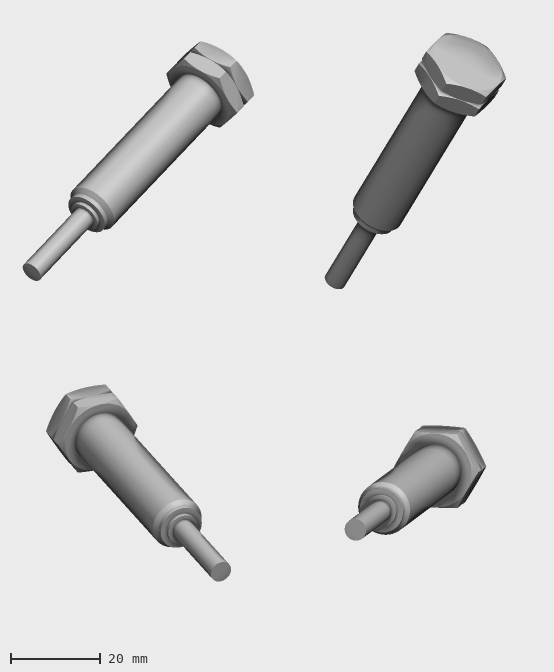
import cadquery as cq
import math

total_length = 72.0

nut_count = 2
nut_across_flats = 17.0
nut_stack_length = 8.0
nut_thickness = nut_stack_length / nut_count
nut_face_diameter = 16.85
nut_chamfer_angle = 30.0

barrel_diameter = 12.0
cap_diameter = 10.1
collar_diameter = 7.2
cable_diameter = 5.0
shoulder_length = 1.1
cap_length = 1.1
collar_length = 0.9
cable_length = 20.0

back_y = total_length / 2
cable_end_y = -total_length / 2
collar_front_y = cable_end_y + cable_length
cap_front_y = collar_front_y + collar_length
shoulder_front_y = cap_front_y + cap_length
barrel_front_y = shoulder_front_y + shoulder_length


def revolve_about_y(profile_points):
    """Revolve a closed (radius, y) profile around the Y axis."""
    profile = cq.Workplane("XY").polyline(profile_points).close()
    return profile.revolve(360, (0, 0, 0), (0, 1, 0))


def make_sensor():
    """Stepped round sensor with its cable, in one solid."""
    barrel_radius = barrel_diameter / 2
    cap_radius = cap_diameter / 2
    collar_radius = collar_diameter / 2
    cable_radius = cable_diameter / 2
    return revolve_about_y([
        (0, back_y),
        (barrel_radius, back_y),
        (barrel_radius, barrel_front_y),
        (cap_radius, shoulder_front_y),
        (cap_radius, cap_front_y),
        (collar_radius, cap_front_y),
        (collar_radius, collar_front_y),
        (cable_radius, collar_front_y),
        (cable_radius, cable_end_y),
        (0, cable_end_y),
    ])


def make_nut(nut_back_y):
    """Hexagonal nut with corners chamfered on both faces and a bore for the barrel."""
    corner_diameter = nut_across_flats / math.cos(math.radians(30))
    corner_radius = corner_diameter / 2
    face_radius = nut_face_diameter / 2
    chamfer_depth = (corner_radius - face_radius) * math.tan(math.radians(nut_chamfer_angle))
    nut_front_y = nut_back_y - nut_thickness

    hexagon = (
        cq.Workplane("XZ", origin=(0, nut_back_y, 0))
        .polygon(6, corner_diameter)
        .circle(barrel_diameter / 2)
        .extrude(nut_thickness)
    )
    chamfer_envelope = revolve_about_y([
        (0, nut_back_y),
        (face_radius, nut_back_y),
        (corner_radius, nut_back_y - chamfer_depth),
        (corner_radius, nut_front_y + chamfer_depth),
        (face_radius, nut_front_y),
        (0, nut_front_y),
    ])
    return hexagon.intersect(chamfer_envelope).solids()


sensor = make_sensor()

nuts = [make_nut(back_y - index * nut_thickness) for index in range(nut_count)]

result = cq.Compound.makeCompound([sensor.val(), *[nut.val() for nut in nuts]])